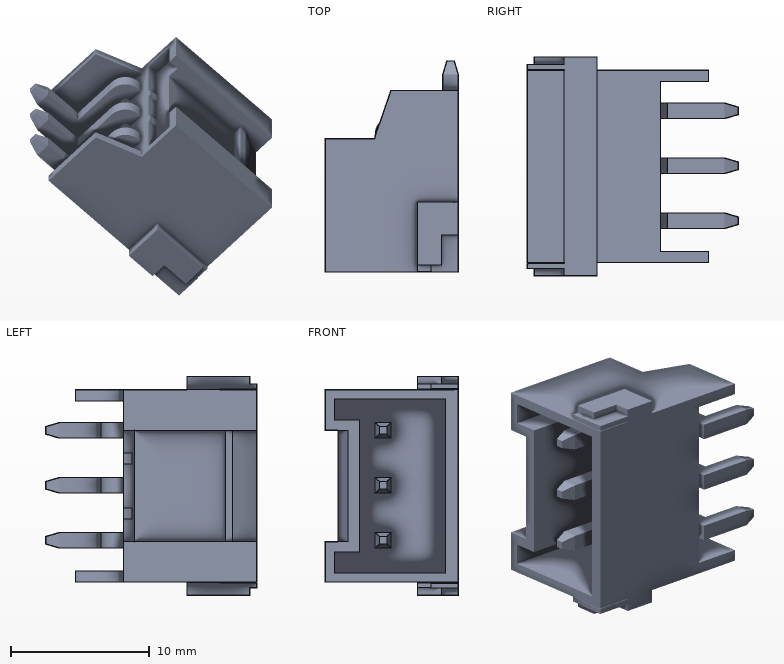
import cadquery as cq


HOUSING_WIDTH = 9.6
HOUSING_DEPTH = 9.6
HOUSING_HEIGHT = 13.85
TOTAL_HEIGHT = 15.76
WALL = 0.68
BACK_WALL = 0.91

CAVITY_DEPTH = 7.88
CAVITY_NECK_X = 2.49
CAVITY_NECK_HEIGHT = 9.52

NOTCH_HEIGHT = 8.0
NOTCH_FLOOR_X = 1.55
RIDGE_LIP_X = 1.64
RIDGE_TOP_X = 0.91
RIDGE_RAMP_LENGTH = 1.73
RIDGE_LENGTH = 2.24

RECESS_DEPTH = 0.8
RECESS_FLOOR_X = 2.84
RIB_THICKNESS = 0.82
RIB_DEPTH = 0.63
RIB_HEIGHT = 0.15

LEG_THICKNESS = 0.82
LEG_END_Y = 13.07
LEG_ROOT_X = 3.55
LEG_END_X = 4.73

CLIP_X = 6.63
CLIP_LENGTH = 5.03
CLIP_LEDGE_HEIGHT = 0.43
CLIP_CAP_Y = 0.5
CLIP_STEP_X = 8.37
CLIP_STEP_Y = 2.66
CLIP_LIP_X = 7.63
CLIP_LIP_GAP = 0.1
CLIP_SETBACK = 0.03
CLIP_GAP = 0.03
CLIP_CORNER_DROP = 0.03
STRAP_THICKNESS = 0.32

PIN_COUNT = 3
RIB_COUNT = PIN_COUNT - 1
PIN_PITCH = 3.95
PIN_ROW_Z = 0.05
PIN_SIZE = 1.13
PIN_X = 3.61
PIN_TIP_SIZE = 0.55
PIN_TAPER = 1.0
PIN_FRONT_Y = 0.95
PIN_REAR_Y = 15.2
PIN_BEND_Y = 11.22
PIN_BEND_RADIUS = 1.37


def row_heights(count):
    """Heights of a row at the pin pitch, centred on Z = 0."""
    return [(i - (count - 1) / 2) * PIN_PITCH for i in range(count)]


def box(x0, x1, y0, y1, z0, z1):
    """Box between two opposite corners."""
    return cq.Workplane("XY").box(x1 - x0, y1 - y0, z1 - z0, centered=False).translate((x0, y0, z0))


def slab(points, thickness):
    """XY outline extruded equally to both sides of Z = 0."""
    return cq.Workplane("XY").polyline(points).close().extrude(thickness / 2, both=True)


def make_shell():
    """Housing block with its latch notch and plug cavity."""
    half = HOUSING_HEIGHT / 2
    shell = box(0, HOUSING_WIDTH, 0, HOUSING_DEPTH, -half, half)

    notch_outline = [
        (0, 0),
        (RIDGE_LIP_X, 0),
        (RIDGE_TOP_X, RIDGE_RAMP_LENGTH),
        (RIDGE_TOP_X, RIDGE_LENGTH),
        (NOTCH_FLOOR_X, RIDGE_LENGTH),
        (NOTCH_FLOOR_X, HOUSING_DEPTH),
        (0, HOUSING_DEPTH),
    ]
    notch = slab(notch_outline, NOTCH_HEIGHT)

    inner_half = half - WALL
    cavity = box(WALL, HOUSING_WIDTH - BACK_WALL, 0, CAVITY_DEPTH, -inner_half, inner_half)
    neck_half = CAVITY_NECK_HEIGHT / 2
    cavity = cavity.cut(box(0, CAVITY_NECK_X, 0, CAVITY_DEPTH, -neck_half, neck_half))
    return shell.cut(notch).cut(cavity)


def make_recess():
    """Rear recess behind the notch, less the ribs left standing on its floor."""
    inner_half = HOUSING_HEIGHT / 2 - WALL
    recess = box(WALL, RECESS_FLOOR_X, HOUSING_DEPTH - RECESS_DEPTH, HOUSING_DEPTH, -inner_half, inner_half)
    rib = box(
        RECESS_FLOOR_X - RIB_HEIGHT,
        RECESS_FLOOR_X,
        HOUSING_DEPTH - RIB_DEPTH,
        HOUSING_DEPTH,
        -RIB_THICKNESS / 2,
        RIB_THICKNESS / 2,
    )
    for z in row_heights(RIB_COUNT):
        recess = recess.cut(rib.translate((0, 0, z)))
    return recess


def make_leg():
    """Upper rear leg, flush with the top of the housing."""
    outline = [
        (LEG_ROOT_X, HOUSING_DEPTH),
        (LEG_END_X, LEG_END_Y),
        (HOUSING_WIDTH, LEG_END_Y),
        (HOUSING_WIDTH, HOUSING_DEPTH),
    ]
    return slab(outline, LEG_THICKNESS).translate((0, 0, (HOUSING_HEIGHT - LEG_THICKNESS) / 2))


def make_clip_arm():
    """Upper clip arm: an L-shaped cap over a ledge, held just clear of the housing."""
    surface = HOUSING_HEIGHT / 2
    ledge = surface + CLIP_LEDGE_HEIGHT
    top = TOTAL_HEIGHT / 2
    foot = box(CLIP_X, HOUSING_WIDTH, CLIP_SETBACK, CLIP_LENGTH, surface + CLIP_GAP, ledge)
    corner = box(CLIP_X, CLIP_LIP_X, 0, CLIP_CAP_Y, ledge - CLIP_CORNER_DROP, ledge)
    lip = box(CLIP_LIP_X, HOUSING_WIDTH, 0, CLIP_SETBACK, surface + CLIP_LIP_GAP, ledge)
    cap = box(CLIP_X, HOUSING_WIDTH, CLIP_CAP_Y, CLIP_LENGTH, ledge, top)
    step = box(CLIP_STEP_X, HOUSING_WIDTH, CLIP_CAP_Y, CLIP_STEP_Y, ledge, top)
    return foot.cut(corner).union(lip).union(cap.cut(step))


def make_clip():
    """U-shaped clip: an arm above and below the housing, joined by a strap let into its far side."""
    arm = make_clip_arm()
    half = HOUSING_HEIGHT / 2 + CLIP_LEDGE_HEIGHT
    strap = box(HOUSING_WIDTH - STRAP_THICKNESS, HOUSING_WIDTH, CLIP_STEP_Y, CLIP_LENGTH, -half, half)
    return strap.union(arm).union(arm.mirror("XY"))


def make_pin(z):
    """Square pin that runs back through the housing, drops to the far side and runs back again."""
    straight_front = PIN_FRONT_Y + PIN_TAPER
    straight_rear = PIN_REAR_Y - PIN_TAPER
    inner_radius = PIN_BEND_RADIUS - PIN_SIZE
    tail_x = HOUSING_WIDTH - PIN_SIZE
    bend_front_y = PIN_BEND_Y - PIN_SIZE

    shank = (
        cq.Workplane("XY")
        .moveTo(PIN_X, straight_front)
        .lineTo(PIN_X, PIN_BEND_Y - PIN_BEND_RADIUS)
        .radiusArc((PIN_X + PIN_BEND_RADIUS, PIN_BEND_Y), PIN_BEND_RADIUS)
        .lineTo(tail_x, PIN_BEND_Y)
        .lineTo(tail_x, straight_rear)
        .lineTo(HOUSING_WIDTH, straight_rear)
        .lineTo(HOUSING_WIDTH, bend_front_y)
        .lineTo(PIN_X + PIN_SIZE + inner_radius, bend_front_y)
        .radiusArc((PIN_X + PIN_SIZE, bend_front_y - inner_radius), -inner_radius)
        .lineTo(PIN_X + PIN_SIZE, straight_front)
        .close()
        .extrude(PIN_SIZE / 2, both=True)
    )
    front_tip = make_tip(PIN_X + PIN_SIZE / 2, straight_front, PIN_FRONT_Y)
    rear_tip = make_tip(tail_x + PIN_SIZE / 2, straight_rear, PIN_REAR_Y)
    return shank.union(front_tip).union(rear_tip).translate((0, 0, z))


def make_tip(x, base_y, end_y):
    """Tapered square end of a pin, from base_y to end_y."""
    direction = 1 if end_y > base_y else -1
    plane = cq.Plane(origin=(x, base_y, 0), xDir=(1, 0, 0), normal=(0, direction, 0))
    return (
        cq.Workplane(plane)
        .rect(PIN_SIZE, PIN_SIZE)
        .workplane(offset=PIN_TAPER)
        .rect(PIN_TIP_SIZE, PIN_TIP_SIZE)
        .loft(ruled=True)
    )


def make_housing(clip, pins):
    """Housing with a leg at each end and matching openings for the clip and the pins."""
    leg = make_leg()
    housing = make_shell().cut(make_recess()).union(leg).union(leg.mirror("XY"))
    for inserted in (clip, *pins):
        housing = housing.cut(inserted)
    return housing


clip = make_clip()
pins = [make_pin(z + PIN_ROW_Z) for z in row_heights(PIN_COUNT)]
housing = make_housing(clip, pins)

result = cq.Compound.makeCompound([housing.val(), clip.val(), *[pin.val() for pin in pins]])